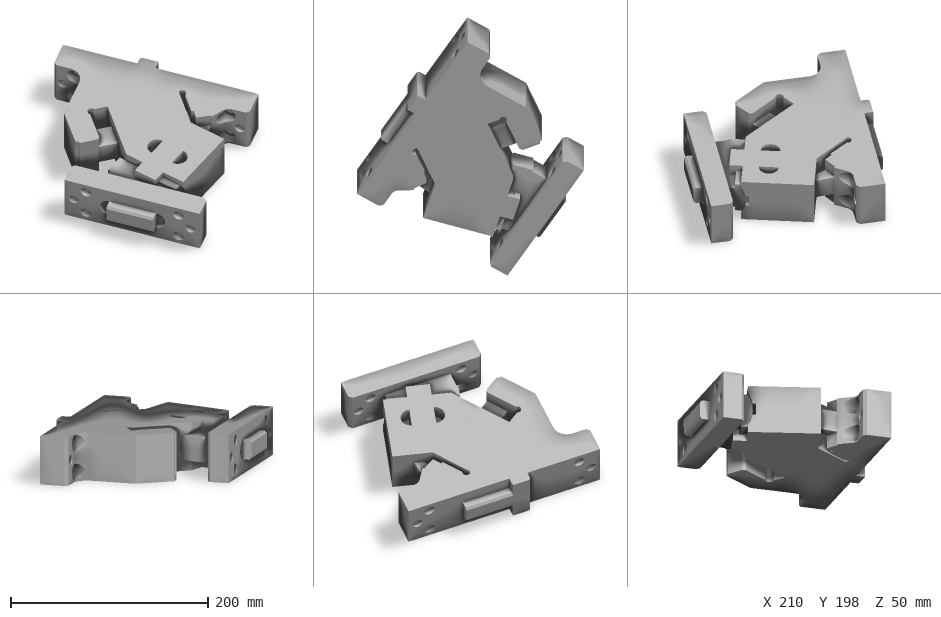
import cadquery as cq
import math

WIDTH = 210.0
THICKNESS = 50.0
HALF_T = THICKNESS / 2
KEY_HEIGHT = 9.0
KEY_WIDTH = 20.2
KEY_CHAMFER = 2.3
CORNER_CHAMFER = 3.4
SCREW_INSET = 22.9
SCREW_OFFSET_Z = 15.0
SCREW_RADIUS = 5.7
DOWEL_INSET = 10.0
DOWEL_RADIUS = 5.2

GUIDE_ANGLE = math.radians(35)
GUIDE_ORIGIN = (71.6, 121.4)

CAM_ANGLE = math.radians(15)
CAM_ORIGIN = (131.0, 58.8)
P_AXIS = (math.cos(CAM_ANGLE), -math.sin(CAM_ANGLE))
Q_AXIS = (math.sin(CAM_ANGLE), math.cos(CAM_ANGLE))

TOTAL_DEPTH = 198.0
HOUSING_TOP = 188.8
FLANGE_BOTTOM = 159.4
WEB_LEFT = 33.2
WEB_KNEE = 97.9
WEB_FILLET = 15.0
COUNTERBORE_RADIUS = 8.6
COUNTERBORE_DEPTH = 8.8
HEEL_LEFT = 79.8
HEEL_RIGHT = 99.3
HEEL_CHAMFER = 1.7
HOUSING_KEY_RIGHT = 150.4
SLOT_LEFT = -20.0
SLOT_RIGHT = 80.0
RELIEF_RADIUS = 4.0
RELIEF_INSET = 2.0
ARM_OUTER = -45.0
ARM_END = 42.0
ARM_OUTER_CHAMFER = 3.5
ARM_LIP = 1.7
ARM_INNER_CHAMFER = 2.5
RIGHT_STEP_V = 29.5
RIGHT_STEP = 2.0
RIGHT_END = 39.5
RIGHT_CORNER = (174.7, 144.0)
RIGHT_TIP = (175.5, 142.4)
RIGHT_SLOPE = math.radians(57)
RIGHT_FILLET = 9.0
PAD_START = 15.0
RIGHT_PAD_WALL_END = 26.0
RIGHT_PAD_SLIDER_END = 30.5
PAD_HALF_T = 11.0
LUG_LEFT_P = 17.5
LUG_RIGHT_P = 27.3

SLIDER_WIDTH = 75.0
SLIDER_TOP_Q = 74.0
SLIDER_RIGHT_P = 49.8
TONGUE_WIDTH = 25.0
TONGUE_LENGTH = 13.6
POCKET_RADIUS = 10.0
POCKET_Q = 26.5
POCKET_DEPTH = 16.8
CHANNEL_HALF_T = 18.3
CHANNEL_FLOOR_Q = -7.5
GROOVE_HALF_T = 6.0
GROOVE_TOP_Q = 8.0

PLATE_LEFT = 64.7
PLATE_TOP = 32.1
PLATE_KEY_LEFT = 112.8
PLATE_KEY_LENGTH = 50.0
KEYWAY_LENGTH = 70.1
KEYWAY_DEPTH = 4.0
NECK_HALF_T = 12.5
BAR_LEFT_P = -29.6
BAR_RIGHT_P = 45.2
BAR_UNDERCUT_Y = 48.7
PEDESTAL_LEFT = 99.5
HEAD_HALF_T = 17.5
HEAD_BOTTOM_Q = -6.7
CROWN_HEIGHT = 5.0


def guide_point(u, v):
    """XY of a point given in the guide frame."""
    x = GUIDE_ORIGIN[0] + u * math.cos(GUIDE_ANGLE) + v * math.sin(GUIDE_ANGLE)
    y = GUIDE_ORIGIN[1] + u * math.sin(GUIDE_ANGLE) - v * math.cos(GUIDE_ANGLE)
    return (x, y)


def cam_point(p, q):
    """XY of a point given in the cam frame."""
    x = CAM_ORIGIN[0] + p * P_AXIS[0] + q * Q_AXIS[0]
    y = CAM_ORIGIN[1] + p * P_AXIS[1] + q * Q_AXIS[1]
    return (x, y)


def guide_line_at_q(u, q):
    """XY where the line of constant U crosses the line of constant Q."""
    x, y = guide_point(u, 0)
    start_q = (x - CAM_ORIGIN[0]) * Q_AXIS[0] + (y - CAM_ORIGIN[1]) * Q_AXIS[1]
    return guide_point(u, (start_q - q) / math.cos(GUIDE_ANGLE + CAM_ANGLE))


def bar_line_at_y(p, y):
    """XY where the line of constant P crosses a given Y."""
    q = (y - CAM_ORIGIN[1] - p * P_AXIS[1]) / Q_AXIS[1]
    return cam_point(p, q)


def prism(points, half_t=HALF_T):
    """Closed XY outline extruded equally to both sides of Z = 0."""
    return cq.Workplane("XY").polyline(points).close().extrude(half_t, both=True)


def cross_section(p):
    """Sketch plane across the driver: local x is Q, local y is Z."""
    origin = (*cam_point(p, 0), 0)
    return cq.Workplane(cq.Plane(origin, xDir=(*Q_AXIS, 0), normal=(*P_AXIS, 0)))


def crowned_bar(start_p, end_p, bottom_q):
    """Bar along P with the width of the driver head and its arched crown."""
    return (
        cross_section(start_p)
        .moveTo(bottom_q, -HEAD_HALF_T)
        .lineTo(0, -HEAD_HALF_T)
        .threePointArc((CROWN_HEIGHT, 0), (0, HEAD_HALF_T))
        .lineTo(bottom_q, HEAD_HALF_T)
        .close()
        .extrude(end_p - start_p)
    )


def flat_bar(start_p, end_p, bottom_q, top_q, half_t):
    """Rectangular bar along P."""
    return (
        cross_section(start_p)
        .center((bottom_q + top_q) / 2, 0)
        .rect(top_q - bottom_q, 2 * half_t)
        .extrude(end_p - start_p)
    )


def drill_y(x, z, radius, y_start, y_end):
    """Cylinder along Y."""
    plane = cq.Plane((x, y_start, z), xDir=(1, 0, 0), normal=(0, 1, 0))
    return cq.Workplane(plane).circle(radius).extrude(y_end - y_start)


def drill_mounting_holes(body, left, right, y_start, y_end):
    """Four screw holes and two dowel holes at the ends of a mounting plate."""
    for x in (left + SCREW_INSET, right - SCREW_INSET):
        for z in (-SCREW_OFFSET_Z, SCREW_OFFSET_Z):
            body = body.cut(drill_y(x, z, SCREW_RADIUS, y_start, y_end))
    for x in (left + DOWEL_INSET, right - DOWEL_INSET):
        body = body.cut(drill_y(x, 0, DOWEL_RADIUS, y_start, y_end))
    return body


def key_block(left, right, y_low, y_high, outer_face):
    """Locating key whose long outer edges are chamfered."""
    key = cq.Workplane("XY").box(right - left, y_high - y_low, KEY_WIDTH)
    key = key.faces(outer_face).edges("|X").chamfer(KEY_CHAMFER)
    return key.translate(((left + right) / 2, (y_low + y_high) / 2, 0))


def upright_edge(body, point):
    """Edge along Z that passes through an XY point."""
    return body.edges(cq.selectors.NearestToPointSelector((*point, 0)))


def build_housing():
    slope_run = (FLANGE_BOTTOM - RIGHT_TIP[1]) / math.tan(RIGHT_SLOPE)
    flange_root = (RIGHT_TIP[0] + slope_run, FLANGE_BOTTOM)
    body = prism([
        (0, HOUSING_TOP),
        (0, FLANGE_BOTTOM),
        (WEB_LEFT, FLANGE_BOTTOM),
        (WEB_LEFT, WEB_KNEE),
        guide_point(ARM_OUTER, ARM_END - ARM_OUTER_CHAMFER),
        guide_point(ARM_OUTER + ARM_OUTER_CHAMFER, ARM_END - ARM_LIP),
        guide_point(ARM_OUTER + ARM_OUTER_CHAMFER, ARM_END),
        guide_point(SLOT_LEFT - ARM_INNER_CHAMFER, ARM_END),
        guide_point(SLOT_LEFT, ARM_END - ARM_INNER_CHAMFER),
        guide_point(SLOT_LEFT, 0),
        guide_point(SLOT_RIGHT, 0),
        guide_point(SLOT_RIGHT, RIGHT_STEP_V),
        guide_point(SLOT_RIGHT + RIGHT_STEP, RIGHT_STEP_V),
        guide_point(SLOT_RIGHT + RIGHT_STEP, RIGHT_END),
        RIGHT_CORNER,
        RIGHT_TIP,
        flange_root,
        (WIDTH, FLANGE_BOTTOM),
        (WIDTH, HOUSING_TOP),
    ])

    for x in (0, WIDTH):
        body = upright_edge(body, (x, FLANGE_BOTTOM)).chamfer(CORNER_CHAMFER)
    body = upright_edge(body, (WEB_LEFT, FLANGE_BOTTOM)).fillet(WEB_FILLET)
    body = upright_edge(body, flange_root).fillet(RIGHT_FILLET)

    for u in (SLOT_LEFT + RELIEF_INSET, SLOT_RIGHT - RELIEF_INSET):
        centre = guide_point(u, RELIEF_INSET)
        relief = cq.Workplane("XY").center(*centre).circle(RELIEF_RADIUS).extrude(HALF_T, both=True)
        body = body.cut(relief)

    heel = prism([
        (HEEL_LEFT, HOUSING_TOP),
        (HEEL_LEFT, TOTAL_DEPTH - HEEL_CHAMFER),
        (HEEL_LEFT + HEEL_CHAMFER, TOTAL_DEPTH),
        (HEEL_RIGHT, TOTAL_DEPTH),
        (HEEL_RIGHT, HOUSING_TOP),
    ])
    key = key_block(HEEL_RIGHT, HOUSING_KEY_RIGHT, HOUSING_TOP, TOTAL_DEPTH, ">Y")
    body = body.union(heel).union(key)

    left_pad = prism([
        guide_point(SLOT_LEFT, PAD_START),
        guide_point(0, PAD_START),
        guide_point(0, RIGHT_END),
        guide_point(SLOT_LEFT, RIGHT_END),
    ], PAD_HALF_T)
    right_pad = prism([
        guide_point(SLIDER_WIDTH, PAD_START),
        guide_point(SLOT_RIGHT, PAD_START),
        guide_point(SLOT_RIGHT, RIGHT_PAD_WALL_END),
        guide_point(SLIDER_WIDTH, RIGHT_PAD_SLIDER_END),
    ], PAD_HALF_T)

    lug = prism([
        guide_point(SLOT_RIGHT + RIGHT_STEP, RIGHT_END),
        cam_point(LUG_LEFT_P, SLIDER_TOP_Q),
        cam_point(LUG_RIGHT_P, SLIDER_TOP_Q),
        RIGHT_CORNER,
    ], PAD_HALF_T)
    body = body.union(left_pad).union(right_pad).union(lug)

    body = drill_mounting_holes(body, 0, WIDTH, FLANGE_BOTTOM, HOUSING_TOP)
    cut_start = FLANGE_BOTTOM - WEB_FILLET
    cut_end = FLANGE_BOTTOM + COUNTERBORE_DEPTH
    for x in (SCREW_INSET, WIDTH - SCREW_INSET):
        for z in (-SCREW_OFFSET_Z, SCREW_OFFSET_Z):
            body = body.cut(drill_y(x, z, COUNTERBORE_RADIUS, cut_start, cut_end))
    return body


def build_slider():
    body = prism([
        guide_point(0, 0),
        guide_line_at_q(0, 0),
        cam_point(0, 0),
        cam_point(0, -TONGUE_LENGTH),
        cam_point(TONGUE_WIDTH, -TONGUE_LENGTH),
        cam_point(TONGUE_WIDTH, 0),
        cam_point(SLIDER_RIGHT_P, 0),
        cam_point(SLIDER_RIGHT_P, SLIDER_TOP_Q),
        guide_line_at_q(SLIDER_WIDTH, SLIDER_TOP_Q),
        guide_point(SLIDER_WIDTH, 0),
    ])

    start = BAR_LEFT_P
    end = SLIDER_RIGHT_P
    body = body.cut(crowned_bar(start, end, HEAD_BOTTOM_Q))
    body = body.cut(flat_bar(start, end, CHANNEL_FLOOR_Q, 0, CHANNEL_HALF_T))
    body = body.cut(flat_bar(start, end, -TONGUE_LENGTH, 0, NECK_HALF_T))
    body = body.cut(flat_bar(start, end, 0, GROOVE_TOP_Q, GROOVE_HALF_T))

    middle_p = TONGUE_WIDTH / 2
    for flat_p in (0, TONGUE_WIDTH):
        outer_p = flat_p + math.copysign(POCKET_RADIUS, flat_p - middle_p)
        pocket = (
            cq.Workplane("XY", origin=(0, 0, HALF_T - POCKET_DEPTH))
            .moveTo(*cam_point(flat_p, POCKET_Q - POCKET_RADIUS))
            .threePointArc(cam_point(outer_p, POCKET_Q), cam_point(flat_p, POCKET_Q + POCKET_RADIUS))
            .close()
            .extrude(POCKET_DEPTH)
        )
        body = body.cut(pocket)
    return body


def build_driver():
    body = prism([
        (PLATE_LEFT, KEY_HEIGHT),
        (WIDTH, KEY_HEIGHT),
        (WIDTH, PLATE_TOP - CORNER_CHAMFER),
        (WIDTH - CORNER_CHAMFER, PLATE_TOP),
        (PLATE_LEFT + CORNER_CHAMFER, PLATE_TOP),
        (PLATE_LEFT, PLATE_TOP - CORNER_CHAMFER),
    ])
    body = drill_mounting_holes(body, PLATE_LEFT, WIDTH, KEY_HEIGHT, PLATE_TOP)

    key_right = PLATE_KEY_LEFT + PLATE_KEY_LENGTH
    key_middle = (PLATE_KEY_LEFT + key_right) / 2
    keyway_plane = cq.Plane((key_middle, KEY_HEIGHT, 0), xDir=(1, 0, 0), normal=(0, 1, 0))
    keyway = cq.Workplane(keyway_plane).slot2D(KEYWAY_LENGTH, KEY_WIDTH).extrude(KEYWAY_DEPTH)
    key = key_block(PLATE_KEY_LEFT, key_right, 0, KEY_HEIGHT + KEYWAY_DEPTH, "<Y")
    body = body.cut(keyway).union(key)

    bar = prism([
        (PEDESTAL_LEFT, PLATE_TOP),
        (PEDESTAL_LEFT, BAR_UNDERCUT_Y),
        bar_line_at_y(BAR_LEFT_P, BAR_UNDERCUT_Y),
        cam_point(BAR_LEFT_P, CROWN_HEIGHT),
        cam_point(BAR_RIGHT_P, CROWN_HEIGHT),
        bar_line_at_y(BAR_RIGHT_P, PLATE_TOP),
    ], NECK_HALF_T)
    crown_limit = crowned_bar(BAR_LEFT_P, BAR_RIGHT_P, -TOTAL_DEPTH)
    head = crowned_bar(0, BAR_RIGHT_P, HEAD_BOTTOM_Q)
    return body.union(bar.intersect(crown_limit)).union(head)


housing = build_housing()
slider = build_slider()
driver = build_driver()

result = cq.Compound.makeCompound([
    *housing.solids().vals(),
    *slider.solids().vals(),
    *driver.solids().vals(),
])